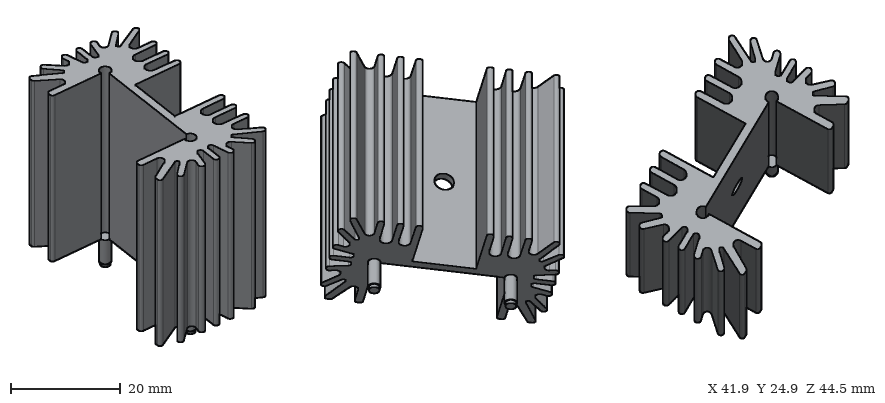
import cadquery as cq
import math

overall_height = 44.45
pin_length = 6.35
sink_height = overall_height - pin_length
half_width = 41.9 / 2
half_depth = 24.9 / 2

web_thickness = 1.65
front_wall_x = 12.4
back_wall_x = 5.9
screw_hole_diameter = 3.65

front_corner_radius = 0.6
inner_front_fin_width = 1.55
back_tip_radius = 0.62
inner_back_tip_radius = 0.65
side_tip_radius = 0.62
low_side_tip_radius = 0.65

pin_radius = 1.15
pin_x = 12.65
pin_nose_radius = 1.0
pin_nose_length = 0.7


def tip(x, y, radius):
    return (x, y, radius)


def root(x, y, radius):
    return (x, y, -radius)


def flat_front_tip(x_start, x_end):
    """Two corner rounds, centred at the given X, joined by a flat on the front plane."""
    y = front_corner_radius - half_depth
    return [tip(x_start, y, front_corner_radius), tip(x_end, y, front_corner_radius)]


def mirrored_in_y(rounds):
    return [(x, -y, turn) for x, y, turn in reversed(rounds)]


def fin_rounds():
    """Tips and roots in order, from the inner front fin to the inner back fin."""
    inner_front_tip = flat_front_tip(
        front_wall_x + front_corner_radius,
        front_wall_x + inner_front_fin_width - front_corner_radius,
    )
    front = inner_front_tip + [root(14.85, -8.65, 0.9)] + flat_front_tip(18.55, 19.0)
    upper_side = [
        root(17.3, 1.25, 0.62),
        tip(half_width - low_side_tip_radius, 3.3, low_side_tip_radius),
        root(18.9, 4.5, 0.85),
        tip(half_width - side_tip_radius, 8.2, side_tip_radius),
        root(17.15, 6.5, 0.45),
    ]
    middle_side = [tip(half_width - side_tip_radius, 0, side_tip_radius)]
    back_tip_y = half_depth - back_tip_radius
    back = [
        tip(18.8, back_tip_y, back_tip_radius),
        root(15.25, 8.7, 0.95),
        tip(13.7, back_tip_y, back_tip_radius),
        root(11.85, 7.2, 1.15),
        tip(10.1, back_tip_y, back_tip_radius),
        root(8.4, 7.1, 1.1),
        tip(back_wall_x + inner_back_tip_radius, half_depth - inner_back_tip_radius,
            inner_back_tip_radius),
    ]
    return front + mirrored_in_y(upper_side) + middle_side + upper_side + back


def tangent_heading(start, end):
    """Heading of the straight flank that is tangent to two successive rounds."""
    dx = end[0] - start[0]
    dy = end[1] - start[1]
    return math.atan2(dy, dx) - math.asin((end[2] - start[2]) / math.hypot(dx, dy))


def point_on_round(rounding, heading):
    """Point of a round where the outline travels along the given heading."""
    x, y, turn = rounding
    return (x + turn * math.sin(heading), y - turn * math.cos(heading))


def half_section():
    """Right half of the section: web, walls and fins as lines and tangent arcs."""
    rounds = fin_rounds()
    flanks = [tangent_heading(a, b) for a, b in zip(rounds, rounds[1:])]
    down = -math.pi / 2
    headings = [down] + flanks + [down]
    outline = cq.Workplane("XY").moveTo(0, 0).lineTo(front_wall_x, 0)
    for rounding, heading_in, heading_out in zip(rounds, headings, headings[1:]):
        direction = math.copysign(1, rounding[2])
        sweep = direction * ((direction * (heading_out - heading_in)) % (2 * math.pi))
        outline = outline.lineTo(*point_on_round(rounding, heading_in))
        outline = outline.threePointArc(
            point_on_round(rounding, heading_in + sweep / 2),
            point_on_round(rounding, heading_out),
        )
    return outline.lineTo(back_wall_x, web_thickness).lineTo(0, web_thickness).close()


def make_heat_sink():
    half = half_section().extrude(sink_height)
    sink = half.union(half.mirror("YZ"))
    pin_holes = (
        cq.Workplane("XY")
        .pushPoints([(-pin_x, 0), (pin_x, 0)])
        .circle(pin_radius)
        .extrude(sink_height)
    )
    screw_hole = (
        cq.Workplane("XZ", origin=(0, 0, sink_height / 2))
        .circle(screw_hole_diameter / 2)
        .extrude(-web_thickness)
    )
    return sink.cut(pin_holes).cut(screw_hole)


def make_pin(x):
    """Round pin that ends level with the sink bottom, with a stepped-down nose at its lower end."""
    lower_end = cq.Workplane("XY", origin=(x, 0, -pin_length))
    nose = lower_end.circle(pin_nose_radius).extrude(pin_nose_length)
    shank_length = pin_length - pin_nose_length
    return nose.faces(">Z").workplane().circle(pin_radius).extrude(shank_length)


heat_sink = make_heat_sink()
pins = [make_pin(x) for x in (-pin_x, pin_x)]

result = cq.Compound.makeCompound([heat_sink.val(), *[pin.val() for pin in pins]])